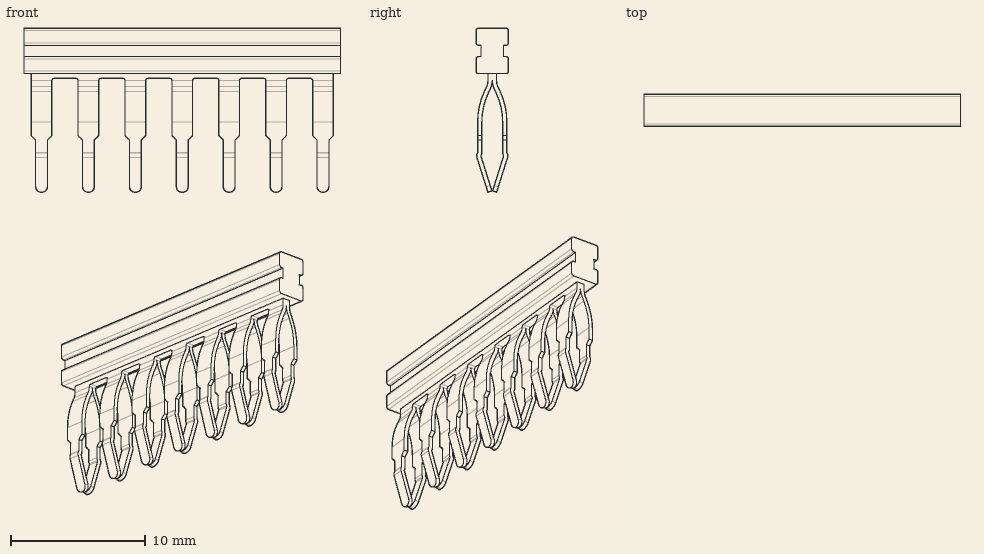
import cadquery as cq
import math


housing_length = 23.6
housing_width = 2.4
housing_height = 3.4
edge_radius = 0.2
groove_depth = 0.35
groove_height = 0.83

total_height = 12.22
leg_count = 7
leg_pitch = 3.5
leg_width = 1.55
leaf_thickness = 0.33
web_height = 0.35
web_corner_radius = 0.15

shoulder_z = -4.6
tip_width = 0.9
tip_radius = 0.42

spread_slope = math.radians(25)
kink_slope = math.radians(30)
tip_slope = math.radians(-17.5)
spread_start_z = -0.52
spread_end_z = -0.97
bow_start_z = -1.32
bow_end_z = -3.59
kink_start_z = -5.85
kink_inside_radius = 0.1

bottom_z = housing_height - total_height
row_length = (leg_count - 1) * leg_pitch + leg_width
leg_centers = [(i - (leg_count - 1) / 2) * leg_pitch for i in range(leg_count)]


def make_housing():
    """Bar with a groove along its front and its back; the long edges of both sides are rounded."""
    bar = cq.Workplane("XY").box(
        housing_length, housing_width, housing_height, centered=(True, True, False)
    )
    groove = cq.Workplane("XY").box(housing_length, 2 * groove_depth, groove_height)
    for side in (-1, 1):
        bar = bar.cut(groove.translate((0, side * housing_width / 2, housing_height / 2)))
    return bar.faces("<Y or >Y").edges("|X").fillet(edge_radius)


def leaf_stretches():
    """Outer face of a leaf from top to bottom: start slope, end slope and drop of each stretch."""
    concave_drop = kink_inside_radius * math.sin(kink_slope)
    convex_radius = kink_inside_radius + leaf_thickness
    convex_drop = convex_radius * (math.sin(kink_slope) - math.sin(tip_slope))
    tip_start_z = kink_start_z - concave_drop - convex_drop
    return [
        (0, 0, -spread_start_z),
        (0, spread_slope, spread_start_z - spread_end_z),
        (spread_slope, spread_slope, spread_end_z - bow_start_z),
        (spread_slope, 0, bow_start_z - bow_end_z),
        (0, 0, bow_end_z - kink_start_z),
        (0, kink_slope, concave_drop),
        (kink_slope, tip_slope, convex_drop),
        (tip_slope, tip_slope, tip_start_z - bottom_z),
    ]


def outer_point(start_point, start_slope, end_slope, drop, slope):
    """Point of a bend at which the face has the given slope."""
    y, z = start_point
    radius = drop / (math.sin(end_slope) - math.sin(start_slope))
    return (
        y + radius * (math.cos(start_slope) - math.cos(slope)),
        z + radius * (math.sin(start_slope) - math.sin(slope)),
    )


def inner_point(point, slope):
    """Point straight through the leaf from a point of its outer face."""
    y, z = point
    return (y - leaf_thickness * math.cos(slope), z - leaf_thickness * math.sin(slope))


def make_leaf_section():
    """Section of the leaf on the +Y side: a bent strip of constant thickness."""
    top = (leaf_thickness, 0.0)
    section = cq.Workplane("YZ").moveTo(*top)
    inner_face = []
    point = top
    for start_slope, end_slope, drop in leaf_stretches():
        inner_start = inner_point(point, start_slope)
        if start_slope == end_slope:
            y, z = point
            point = (y + drop * math.tan(start_slope), z - drop)
            inner_middle = None
            section = section.lineTo(*point)
        else:
            bend = (point, start_slope, end_slope, drop)
            middle_slope = (start_slope + end_slope) / 2
            middle = outer_point(*bend, middle_slope)
            point = outer_point(*bend, end_slope)
            inner_middle = inner_point(middle, middle_slope)
            section = section.threePointArc(middle, point)
        inner_face.append((inner_middle, inner_start))

    section = section.lineTo(*inner_point(point, end_slope))
    for inner_middle, inner_start in reversed(inner_face):
        if inner_middle is None:
            section = section.lineTo(*inner_start)
        else:
            section = section.threePointArc(inner_middle, inner_start)
    return section.close()


def make_leaf():
    """Leaf on the +Y side, narrowed below its shoulders and rounded at its tip."""
    leaf = make_leaf_section().extrude(leg_width / 2, both=True)
    half_leg = leg_width / 2
    half_tip = tip_width / 2
    below_tip_z = bottom_z - leaf_thickness
    for side in (-1, 1):
        beside_tip = (
            cq.Workplane("XZ")
            .moveTo(side * half_leg, shoulder_z)
            .lineTo(side * half_tip, shoulder_z - (half_leg - half_tip))
            .lineTo(side * half_tip, below_tip_z)
            .lineTo(side * half_leg, below_tip_z)
            .close()
            .extrude(housing_width, both=True)
        )
        leaf = leaf.cut(beside_tip)
    return leaf.faces("<Z").edges("not |X").fillet(tip_radius)


def make_comb():
    """Legs of two mirrored leaves, joined under the housing by a web with rounded corners."""
    leaf = make_leaf()
    leg = leaf.union(leaf.mirror("XZ"))
    web_thickness = 2 * leaf_thickness
    comb = (
        cq.Workplane("XY")
        .workplane(offset=-web_height)
        .box(row_length, web_thickness, web_height, centered=(True, True, False))
    )
    for center in leg_centers:
        comb = comb.union(leg.translate((center, 0, 0)))
    web_corners = cq.selectors.BoxSelector(
        (-row_length / 2 + leg_width / 2, -web_thickness, -web_height - web_corner_radius),
        (row_length / 2 - leg_width / 2, web_thickness, -web_height + web_corner_radius),
    )
    return comb.edges("|Y").edges(web_corners).fillet(web_corner_radius)


housing = make_housing()
comb = make_comb()
result = cq.Compound.makeCompound([housing.val(), comb.val()])